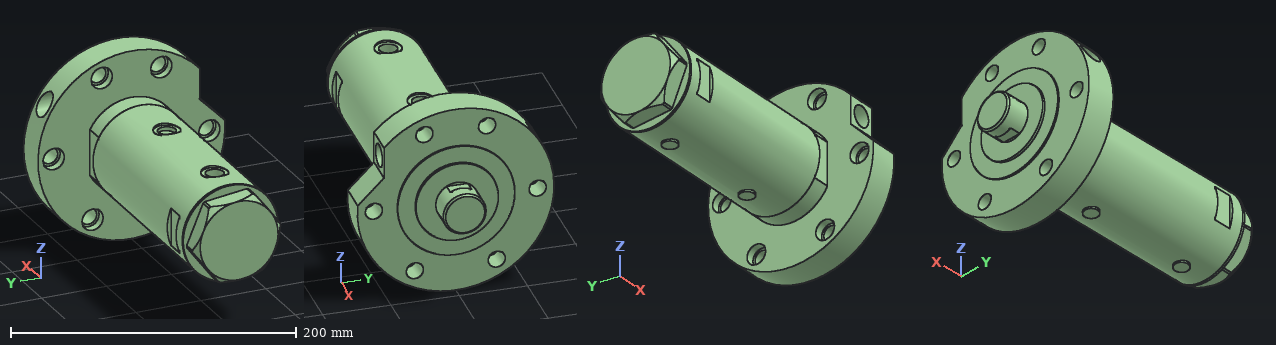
import cadquery as cq
import math

hex_end = 14.3
barrel_start = 16.1
cap_end = 42.5
gland_start = 122.6
barrel_end = 167.5
flange_back = 182.8
flange_front = 207.5
spigot_end = 208.9
gland_end = 211.0
rod_flat_end = 220.1
rod_end = 230.5

barrel_radius = 73.0 / 2
bore_radius = 25.0
hex_across_flats = 60.0
hex_corner_radius = 34.1
hex_chamfer_length = 4.5
hex_turn = 7.2

barrel_flat_distance = 33.7
barrel_flat_start = 26.5
barrel_flat_length = 15.0
port_stations = [41.5, gland_start]
port_radius = 6.7
spotface_radius = 19.5 / 2
spotface_height = 35.0
boss_stations = [40.3, 131.2]
boss_radius = 12.2 / 2
boss_height = 1.4

flange_radius = 144.0 / 2
neck_flat_distance = 32.0
spigot_radius = 42.9
bolt_circle_radius = 60.0
bolt_angles = [0, 67.5, 112.5, 180, 240, 300]
bolt_radius = 6.2
counterbore_radius = 8.0
counterbore_depth = 7.0
notch_distance = 52.5
notch_bottom = 25.4
cross_hole_radius = 16.8 / 2
cross_hole_height = 37.0

gland_head_radius = 32.3
gland_radius = 30.2
rod_radius = 15.7
rod_flat_distance = 13.5
rod_chamfer = 1.4
piston_length = 23.0


def x_cylinder(radius, start, end):
    """Cylinder on the main axis between two stations."""
    return cq.Workplane("YZ", origin=(start, 0, 0)).circle(radius).extrude(end - start)


def block_pair(distance, start, end, axis):
    """Two blocks outside +-distance along Y or Z, for cutting a pair of flats."""
    size = 2 * barrel_radius
    middle = (start + end) / 2
    offset = distance + size / 2
    if axis == "Y":
        centers = [(middle, -offset, 0), (middle, offset, 0)]
    else:
        centers = [(middle, 0, -offset), (middle, 0, offset)]
    return cq.Workplane("XY").pushPoints(centers).box(end - start, size, size)


def make_cap():
    """Hex head with chamfered corners, a collar and a plug that closes the bore."""
    apothem = hex_across_flats / 2
    hexagon = (
        cq.Workplane("YZ")
        .polygon(6, hex_across_flats / math.cos(math.radians(30)))
        .extrude(hex_end)
    )
    turned_blank = (
        cq.Workplane("XY")
        .polyline(
            [
                (0, 0),
                (0, apothem),
                (hex_chamfer_length, hex_corner_radius),
                (hex_end, hex_corner_radius),
                (hex_end, 0),
            ]
        )
        .close()
        .revolve(360, (0, 0, 0), (1, 0, 0))
    )
    head = hexagon.intersect(turned_blank)
    collar = x_cylinder(barrel_radius, hex_end, barrel_start)
    plug = x_cylinder(bore_radius, barrel_start, cap_end)
    return head.union(collar).union(plug).rotate((0, 0, 0), (1, 0, 0), -hex_turn)


def make_barrel():
    """Tube with wrench flats, two ports on top and two round bosses underneath."""
    barrel = x_cylinder(barrel_radius, barrel_start, barrel_end)
    for station in boss_stations:
        boss = (
            cq.Workplane("XY", origin=(station, 0, -barrel_radius - boss_height))
            .circle(boss_radius)
            .extrude(barrel_radius + boss_height - gland_head_radius)
        )
        barrel = barrel.union(boss)
    barrel = barrel.cut(
        block_pair(barrel_flat_distance, barrel_flat_start, barrel_flat_start + barrel_flat_length, "Y")
    )
    barrel = barrel.cut(x_cylinder(bore_radius, barrel_start, gland_start))
    barrel = barrel.cut(x_cylinder(gland_head_radius, gland_start, barrel_end))
    for station in port_stations:
        port = cq.Workplane("XY", origin=(station, 0, 0)).circle(port_radius).extrude(barrel_radius)
        spotface = (
            cq.Workplane("XY", origin=(station, 0, spotface_height))
            .circle(spotface_radius)
            .extrude(barrel_radius)
        )
        barrel = barrel.cut(port).cut(spotface)
    return barrel


def make_flange():
    """Notched mounting disc with a flatted neck and a spigot."""
    disc = x_cylinder(flange_radius, flange_back, flange_front)

    notch_outside = notch_distance + flange_radius
    notch = (
        cq.Workplane("YZ", origin=(flange_back, 0, 0))
        .polyline(
            [
                (-notch_distance, notch_bottom),
                (-notch_distance, flange_radius),
                (-notch_outside, flange_radius),
                (-notch_outside, notch_bottom - flange_radius),
            ]
        )
        .close()
        .extrude(flange_front - flange_back)
    )
    disc = disc.cut(notch)

    bolt_points = [
        (
            -bolt_circle_radius * math.cos(math.radians(angle)),
            bolt_circle_radius * math.sin(math.radians(angle)),
        )
        for angle in bolt_angles
    ]
    back_plane = cq.Workplane("YZ", origin=(flange_back, 0, 0)).pushPoints(bolt_points)
    disc = disc.cut(back_plane.circle(bolt_radius).extrude(flange_front - flange_back))
    disc = disc.cut(back_plane.circle(counterbore_radius).extrude(counterbore_depth))

    cross_hole = (
        cq.Workplane("XZ", origin=((flange_back + flange_front) / 2, 0, cross_hole_height))
        .circle(cross_hole_radius)
        .extrude(flange_radius, both=True)
    )
    disc = disc.cut(cross_hole)

    neck = x_cylinder(barrel_radius, barrel_end, flange_back)
    neck = neck.cut(block_pair(neck_flat_distance, barrel_end, flange_back, "Y"))
    spigot = x_cylinder(spigot_radius, flange_front, spigot_end)
    gland_bore = x_cylinder(gland_radius, barrel_end, spigot_end)
    return disc.union(neck).union(spigot).cut(gland_bore)


def make_gland():
    """Rod guide whose wider head is held in the barrel by the flange neck."""
    head = x_cylinder(gland_head_radius, gland_start, barrel_end)
    sleeve = x_cylinder(gland_radius, barrel_end, gland_end)
    return head.union(sleeve).cut(x_cylinder(rod_radius, gland_start, gland_end))


def make_piston():
    """Piston and its rod, with two flats near the rod end."""
    rod = x_cylinder(rod_radius, cap_end, rod_end).faces(">X").chamfer(rod_chamfer)
    rod = rod.cut(block_pair(rod_flat_distance, gland_end, rod_flat_end, "Z"))
    return rod.union(x_cylinder(bore_radius, cap_end, cap_end + piston_length))


cap = make_cap()
barrel = make_barrel()
flange = make_flange()
gland = make_gland()
piston = make_piston()

result = cq.Compound.makeCompound(
    [cap.val(), barrel.val(), flange.val(), gland.val(), piston.val()]
)